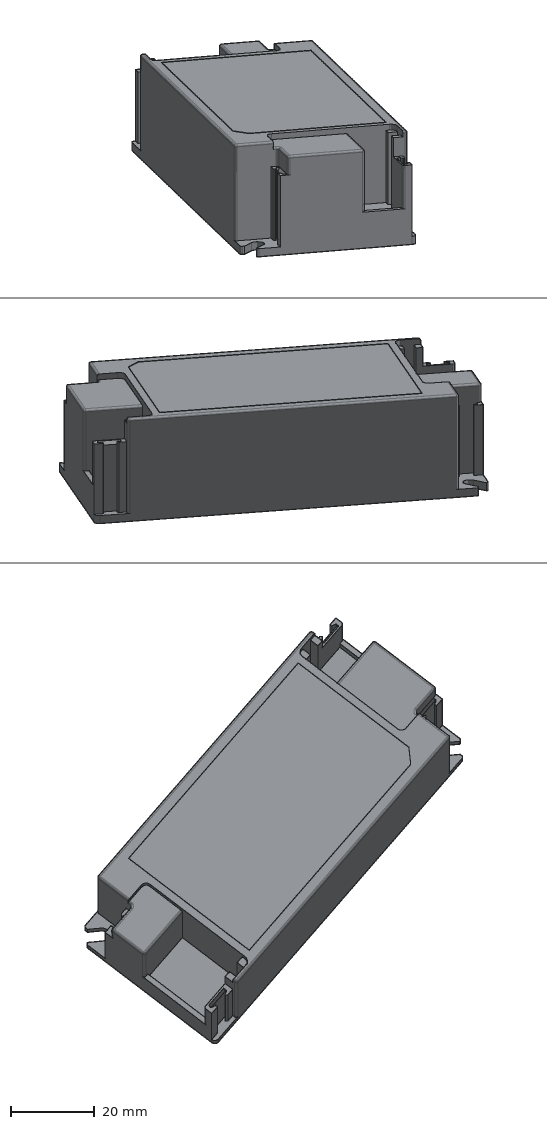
import cadquery as cq
import math

length = 97.0
width = 43.0
height = 26.0

plate_top = 2.0
lip_top = 9.0
pocket_floor = 6.6
clip_top = 19.8
block_top = 24.5

body_inset = 8.0
notch_depth = 14.5
notch_start = 9.6
clip_face = 9.0
side_wall = 1.2
lip_thickness = 1.4
wall_thickness = 2.3
left_block_width = 10.2
right_block_width = 19.2
edge_radius = 0.6
notch_radius = 1.5

block_end = width - side_wall
pocket_end = block_end - wall_thickness

gap_start = 9.6
gap_end = 12.5

clip_center = body_inset / 2
mouth_width = 3.5
mouth_lead = 0.4
dovetail_width = 5.6
mouth_depth = 0.6
flare_depth = 1.0
clip_depth = 1.3
clip_bevel_depth = 0.6
clip_bevel_height = 0.9

block_start = clip_face + clip_depth + clip_bevel_depth

plate_radius = 1.2
slot_radius = 1.65
slot_inward = 4.3
slot_across = 4.6
ear_inward = 3.1
ear_across = 3.2
ear_radius = 0.5

label_inset = 16.4
label_margin = 2.9
label_corner = 3.1
label_depth = 0.1


def at_end(inward, across):
    """Point at the -X end, measured from the end face and from the +Y side."""
    return (inward - length / 2, width / 2 - across)


def end_box(inward, across, levels):
    """Box at the -X end given by its three (start, stop) ranges."""
    return (
        cq.Workplane("XY", origin=(0, 0, levels[0]))
        .moveTo(*at_end(inward[0], across[0]))
        .lineTo(*at_end(inward[1], across[0]))
        .lineTo(*at_end(inward[1], across[1]))
        .lineTo(*at_end(inward[0], across[1]))
        .close()
        .extrude(levels[1] - levels[0])
    )


def turn(shape):
    """The shape turned half a revolution about Z."""
    return shape.rotate((0, 0, 0), (0, 0, 1), 180)


def mounting_cut():
    """Diagonal open slot with the plate corner around its mouth removed."""
    reach = slot_radius * math.sqrt(2)
    offset = slot_across - slot_inward
    side = slot_radius / math.sqrt(2)
    return (
        cq.Workplane("XY")
        .moveTo(*at_end(0, 0))
        .lineTo(*at_end(ear_inward, 0))
        .lineTo(*at_end(ear_inward, ear_inward + offset - reach))
        .lineTo(*at_end(slot_inward + side, slot_across - side))
        .threePointArc(
            at_end(slot_inward + side, slot_across + side),
            at_end(slot_inward - side, slot_across + side),
        )
        .lineTo(*at_end(ear_across - offset - reach, ear_across))
        .lineTo(*at_end(0, ear_across))
        .close()
        .extrude(plate_top)
    )


def make_plate():
    plate = cq.Workplane("XY").box(length, width, plate_top, centered=(True, True, False))
    for cut in (mounting_cut(), turn(mounting_cut())):
        plate = plate.cut(cut)
    for inward, across, radius in (
        (ear_inward, 0, ear_radius),
        (0, ear_across, ear_radius),
        (0, width, plate_radius),
    ):
        x, y = at_end(inward, across)
        for corner in ((x, y), (-x, -y)):
            nearest = cq.selectors.NearestToPointSelector((*corner, plate_top / 2))
            plate = plate.edges("|Z").edges(nearest).fillet(radius)
    return plate


def make_body():
    """Tall central housing with rounded upright and lid edges."""
    return (
        cq.Workplane("XY", origin=(0, 0, plate_top))
        .box(length - 2 * body_inset, width, height - plate_top, centered=(True, True, False))
        .edges("|Z or >Z")
        .fillet(edge_radius)
    )


def lid_notch():
    """Shallow step in the lid above each terminal block."""
    return (
        end_box((0, notch_depth), (notch_start, block_end), (block_top, height))
        .edges("|Z and >X")
        .fillet(notch_radius)
    )


def clip_slot(face, direction, depth):
    """Dovetail slot cut into a side face; direction is +1 going across, -1 coming back."""
    def point(inward_offset, below_face):
        return at_end(clip_center + inward_offset, face + direction * below_face)

    mouth = mouth_width / 2
    tail = dovetail_width / 2
    return (
        cq.Workplane("XY", origin=(0, 0, plate_top))
        .polyline([
            point(-mouth, 0),
            point(-mouth, mouth_depth),
            point(-tail, flare_depth),
            point(-tail, depth),
            point(tail, depth),
            point(tail, flare_depth),
            point(mouth, mouth_depth),
            point(mouth, mouth_lead),
            point(mouth + mouth_lead, 0),
        ])
        .close()
        .extrude(clip_top - plate_top)
    )


def beveled_clip_slot(face, direction):
    """Dovetail slot with a bevel along the top of its back wall."""
    bevel_y = at_end(0, face + direction * clip_depth)[1]
    bevel = (
        cq.Workplane("YZ", origin=(at_end(clip_center, 0)[0], 0, 0))
        .polyline([
            (bevel_y, clip_top - clip_bevel_height),
            (bevel_y, clip_top),
            (bevel_y - direction * clip_bevel_depth, clip_top),
        ])
        .close()
        .extrude(dovetail_width / 2, both=True)
    )
    return clip_slot(face, direction, clip_depth).union(bevel)


def make_base(inner_slot):
    """Lower part of an end, up to the top of the clip rails."""
    base = end_box((0, body_inset), (clip_face, block_end), (plate_top, clip_top))
    return base.cut(inner_slot).cut(beveled_clip_slot(block_end, -1))


def pocket(start):
    """Cable pocket behind a low lip, together with the seat of the terminal block."""
    levels = (pocket_floor, block_top)
    seat = end_box((body_inset, notch_depth), (notch_start, pocket_end), levels)
    inner = end_box((lip_thickness, notch_depth), (start, pocket_end), levels)
    entry = end_box((0, lip_thickness), (start, pocket_end), (lip_top, block_top))
    gap = end_box((gap_start, gap_end), (pocket_end, block_end), levels)
    return seat.union(inner).union(entry).union(gap)


def pocket_edge():
    """Corner of the end wall beside the pocket entry, to be rounded."""
    x, y = at_end(0, pocket_end)
    return cq.selectors.NearestToPointSelector((x, y, (lip_top + clip_top) / 2))


def make_block(stop):
    """Terminal block beside the pocket, with a shoulder reaching under the lid notch."""
    shoulder = end_box((body_inset, notch_depth), (notch_start, stop), (plate_top, block_top))
    block = end_box((0, notch_depth), (block_start, stop), (plate_top, block_top)).union(shoulder)
    root = cq.selectors.NearestToPointSelector((*at_end(body_inset, block_start), clip_top))
    block = block.edges("|Z").edges(root).fillet(edge_radius)
    return block.edges("(|Z and <X) or (>Z and (not >X) and (not >Y))").fillet(edge_radius)


def add_end(housing, block_width, inner_slot):
    """Housing with the pocket, rails and terminal block of its -X end."""
    block_stop = block_start + block_width
    housing = housing.cut(lid_notch()).union(make_base(inner_slot))
    housing = housing.cut(pocket(block_stop - edge_radius))
    housing = housing.edges("|Z").edges(pocket_edge()).fillet(edge_radius)
    return housing.union(make_block(block_stop))


def label_recess():
    """Shallow rectangle on the lid with one clipped corner."""
    x = length / 2 - label_inset
    y = width / 2 - label_margin
    return (
        cq.Workplane("XY", origin=(0, 0, height - label_depth))
        .polyline([(-x, -y), (x - label_corner, -y), (x, label_corner - y), (x, y), (-x, y)])
        .close()
        .extrude(label_depth)
    )


plain_slot = clip_slot(clip_face, 1, block_start - clip_face)
beveled_slot = beveled_clip_slot(clip_face, 1)

housing = make_body().union(make_plate())
housing = add_end(housing, left_block_width, plain_slot)
housing = turn(add_end(turn(housing), right_block_width, beveled_slot))
result = housing.cut(label_recess())